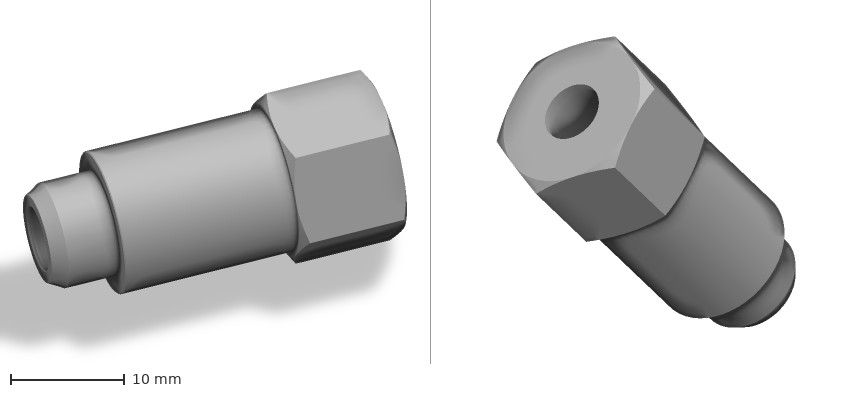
import cadquery as cq
import math

total_length = 32.0
hex_length = 10.0
tip_length = 6.0

hex_across_corners = 16.15
body_diameter = 13.0
tip_diameter = 9.6
tip_end_diameter = 8.03
bore_diameter = 5.5

body_chamfer = 0.1
bore_chamfer = 0.25
taper_angle = math.radians(30)

hex_across_flats = hex_across_corners * math.cos(math.pi / 6)
hex_start = total_length - hex_length
tip_taper_length = (tip_diameter - tip_end_diameter) / 2 / math.tan(taper_angle)
corner_height = (hex_across_corners - hex_across_flats) / 2 * math.tan(taper_angle)


def revolve_about_y(points):
    """Solid of revolution from (radius, y) points."""
    return cq.Workplane("XY").polyline(points).close().revolve(360, (0, 0, 0), (0, 1, 0))


def make_hexagon():
    """Hexagonal head with corners on +X and -X, chamfered at both ends."""
    prism = (
        cq.Workplane("XZ", origin=(0, total_length, 0))
        .polygon(6, hex_across_corners)
        .extrude(hex_length)
    )
    flat_radius = hex_across_flats / 2
    corner_radius = hex_across_corners / 2
    envelope = revolve_about_y([
        (0, hex_start),
        (flat_radius, hex_start),
        (corner_radius, hex_start + corner_height),
        (corner_radius, total_length - corner_height),
        (flat_radius, total_length),
        (0, total_length),
    ])
    return prism.intersect(envelope)


def make_shank():
    """Cylindrical body and the narrower tapered tip."""
    body_radius = body_diameter / 2
    tip_radius = tip_diameter / 2
    return revolve_about_y([
        (0, 0),
        (tip_end_diameter / 2, 0),
        (tip_radius, tip_taper_length),
        (tip_radius, tip_length),
        (body_radius - body_chamfer, tip_length),
        (body_radius, tip_length + body_chamfer),
        (body_radius, hex_start),
        (0, hex_start),
    ])


def make_bore():
    """Through hole with a chamfered mouth at the tip."""
    bore_radius = bore_diameter / 2
    return revolve_about_y([
        (0, 0),
        (bore_radius + bore_chamfer, 0),
        (bore_radius, bore_chamfer),
        (bore_radius, total_length),
        (0, total_length),
    ])


result = make_hexagon().union(make_shank()).cut(make_bore())